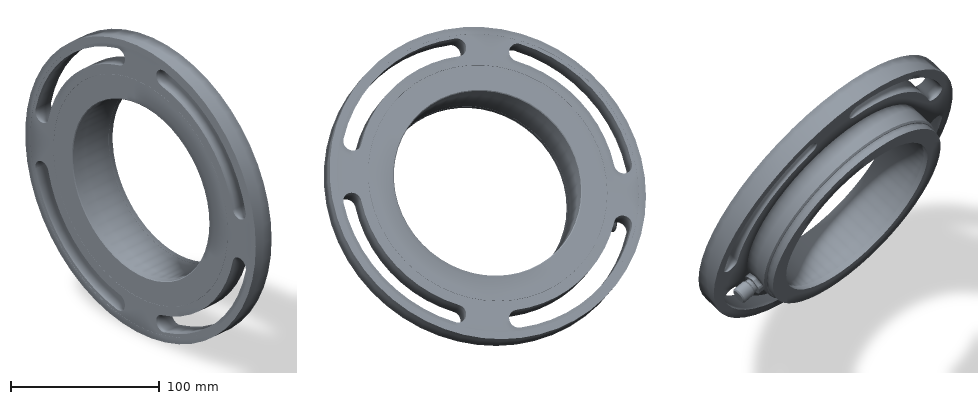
import cadquery as cq
import math

flange_diameter = 220.0
flange_thickness = 15.0
rim_inner_diameter = 210.0
rim_step = 0.1
body_diameter = 158.0
body_end = 32.3
body_chamfer = 1.0
rear_diameter = 154.5
total_depth = 38.0

bore_diameter = 130.2
land_diameter = 130.0
land_length = 3.7
bore_chamfer = 0.7
insert_diameter = 166.0
insert_seat_diameter = 166.3
joint_depth = 0.7

slot_count = 4
slot_inner_radius = 90.2
slot_outer_radius = 102.7
slot_end_angle = 12.7

connector_depth = 22.9
connector_height = -13.2
connector_root = 74.8
hex_end = 82.0
hex_across_flats = 13.6
hex_corner_diameter = 14.7
neck_end = 84.5
neck_diameter = 10.0
plug_end = 94.8
plug_diameter = 11.5
plug_back_chamfer = 1.0
plug_front_chamfer = 0.9


def cylinder(diameter, start, end):
    """Cylinder around the Y axis between two depths."""
    plane = cq.Plane(origin=(0, start, 0), xDir=(1, 0, 0), normal=(0, 1, 0))
    return cq.Workplane(plane).circle(diameter / 2).extrude(end - start)


def polar(radius, degrees):
    angle = math.radians(degrees)
    return (radius * math.cos(angle), radius * math.sin(angle))


def make_ring():
    flange = cylinder(flange_diameter, 0, flange_thickness)
    body = cylinder(body_diameter, 0, body_end).faces(">Y").chamfer(body_chamfer)
    ring = flange.union(body).union(cylinder(rear_diameter, 0, total_depth))
    ring = ring.cut(cylinder(rim_inner_diameter, 0, rim_step))
    joint = cylinder(insert_seat_diameter, 0, rim_step + joint_depth)
    joint = joint.cut(cylinder(insert_diameter, 0, rim_step + joint_depth))
    return ring.cut(joint)


def cut_bore(ring):
    """Bore with a chamfered front mouth and a slightly tighter rear land."""
    mouth_radius = bore_diameter / 2 + bore_chamfer
    profile = (
        cq.Workplane("XY")
        .lineTo(mouth_radius, 0)
        .lineTo(bore_diameter / 2, bore_chamfer)
        .lineTo(bore_diameter / 2, total_depth - land_length)
        .lineTo(land_diameter / 2, total_depth - land_length)
        .lineTo(land_diameter / 2, total_depth)
        .lineTo(0, total_depth)
        .close()
    )
    return ring.cut(profile.revolve(360, (0, 0, 0), (0, 1, 0)))


def make_slot():
    """Curved slot with full round ends, in the +X +Z quarter."""
    first = slot_end_angle
    last = 90 - slot_end_angle
    middle_radius = (slot_inner_radius + slot_outer_radius) / 2
    end_radius = (slot_outer_radius - slot_inner_radius) / 2
    profile = (
        cq.Workplane("XZ")
        .moveTo(*polar(slot_outer_radius, first))
        .threePointArc(polar(slot_outer_radius, 45), polar(slot_outer_radius, last))
        .lineTo(*polar(slot_inner_radius, last))
        .threePointArc(polar(slot_inner_radius, 45), polar(slot_inner_radius, first))
        .close()
        .extrude(-flange_thickness)
    )
    ends = (
        cq.Workplane("XZ")
        .pushPoints([polar(middle_radius, first), polar(middle_radius, last)])
        .circle(end_radius)
        .extrude(-flange_thickness)
    )
    return profile.union(ends)


def make_connector():
    """Hex nut, neck and plug along +X."""
    def section(start):
        return cq.Workplane("YZ", origin=(start, connector_depth, connector_height))

    hex_length = hex_end - connector_root
    hex_diameter = hex_across_flats / math.cos(math.radians(30))
    nut = (
        section(connector_root)
        .transformed(rotate=(0, 0, 30))
        .polygon(6, hex_diameter)
        .extrude(hex_length)
    )
    corner_limit = section(connector_root).circle(hex_corner_diameter / 2).extrude(hex_length)
    nut = nut.intersect(corner_limit)
    neck = section(connector_root).circle(neck_diameter / 2).extrude(neck_end - connector_root)
    plug = section(neck_end).circle(plug_diameter / 2).extrude(plug_end - neck_end)
    plug = plug.faces("<X").chamfer(plug_back_chamfer).faces(">X").chamfer(plug_front_chamfer)
    return nut.union(neck).union(plug)


result = cut_bore(make_ring())
slot = make_slot()
for index in range(slot_count):
    result = result.cut(slot.rotate((0, 0, 0), (0, 1, 0), index * 360 / slot_count))
result = result.union(make_connector())